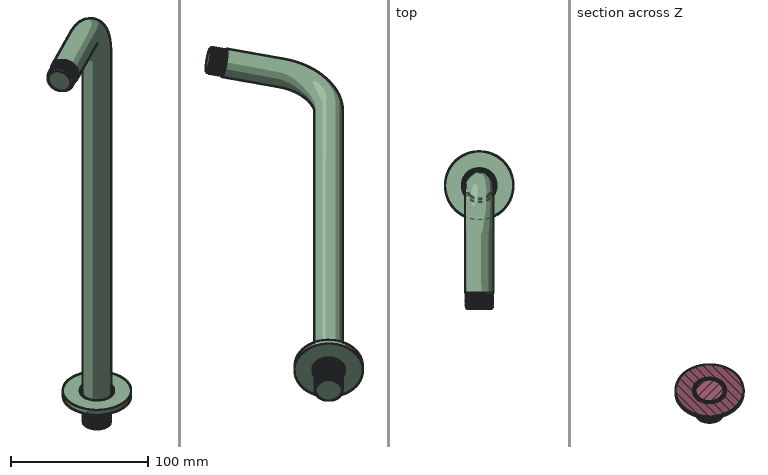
import cadquery as cq
import math

total_height = 370.2
total_depth = 115.0

flange_diameter = 50.0
flange_thickness = 4.5
flange_bottom = 23.5
flange_hole_diameter = 23.7
flange_hole_chamfer = 0.7

pipe_diameter = 21.0
bend_radius = 34.8
arm_height = total_height - pipe_diameter / 2
arm_tip = total_depth - flange_diameter / 2

lower_thread_diameter = 20.7
lower_thread_length = 25.0
tip_thread_diameter = 20.0
tip_thread_length = 12.2
thread_pitch = 2.2
thread_depth = 1.0
thread_crest = 0.5
thread_end_gap = 0.7
cutter_overlap = 0.2
lower_end_chamfer = 0.7
tip_chamfer = 1.5


def make_threaded_end(diameter, length, chamfer_size):
    """Solid stub along +Z from a chamfered end at the origin, with a helical V groove."""
    radius = diameter / 2
    stub = cq.Workplane("XY").circle(radius).extrude(length).faces("<Z").chamfer(chamfer_size)
    helix_height = length - 2 * thread_end_gap
    root_radius = radius - thread_depth
    helix = cq.Wire.makeHelix(thread_pitch, helix_height, root_radius)
    half_width_at_surface = (thread_pitch - thread_crest) / 2
    half_width = half_width_at_surface * (thread_depth + cutter_overlap) / thread_depth
    cutter = (
        cq.Workplane("XZ")
        .moveTo(root_radius, 0)
        .lineTo(radius + cutter_overlap, half_width)
        .lineTo(radius + cutter_overlap, -half_width)
        .close()
        .sweep(cq.Workplane(obj=helix), isFrenet=True)
        .translate((0, 0, thread_end_gap))
    )
    return stub.cut(cutter)


def make_pipe():
    """Upright pipe, quarter bend and horizontal arm, threaded at both ends."""
    diagonal = bend_radius * math.sqrt(0.5)
    bend_top = (-bend_radius, arm_height)
    bend_middle = (-bend_radius + diagonal, arm_height - bend_radius + diagonal)
    path = (
        cq.Workplane("YZ")
        .moveTo(0, lower_thread_length)
        .lineTo(0, arm_height - bend_radius)
        .threePointArc(bend_middle, bend_top)
        .lineTo(-arm_tip + tip_thread_length, arm_height)
    )
    tube = (
        cq.Workplane("XY", origin=(0, 0, lower_thread_length))
        .circle(pipe_diameter / 2)
        .sweep(path)
    )
    lower_end = make_threaded_end(lower_thread_diameter, lower_thread_length, lower_end_chamfer)
    tip_end = (
        make_threaded_end(tip_thread_diameter, tip_thread_length, tip_chamfer)
        .rotate((0, 0, 0), (1, 0, 0), -90)
        .translate((0, -arm_tip, arm_height))
    )
    return tube.union(lower_end).union(tip_end)


def make_flange():
    """Flat round cover plate with a chamfered clearance hole around the pipe."""
    return (
        cq.Workplane("XY", origin=(0, 0, flange_bottom))
        .circle(flange_diameter / 2)
        .circle(flange_hole_diameter / 2)
        .extrude(flange_thickness)
        .faces(">Z")
        .edges(cq.selectors.RadiusNthSelector(0))
        .chamfer(flange_hole_chamfer)
    )


pipe = make_pipe()
flange = make_flange()
result = cq.Compound.makeCompound([pipe.val(), flange.val()])